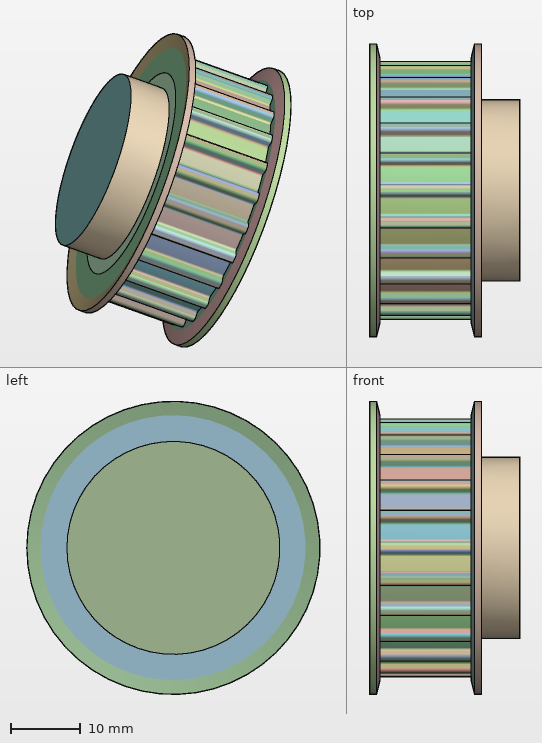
import cadquery as cq
import math

total_length = 21.55
rim_span = 16.05

flange_diameter = 42.0
flange_thickness = 1.0
flare_depth = 0.5
flare_inner_diameter = 37.93

spigot_diameter = 30.5
hub_diameter = 26.0

tooth_count = 24
tip_diameter = 36.95
tooth_depth = 1.18
tooth_tip_width = 1.25
tooth_root_width = 1.9
tip_fillet = 0.5
root_fillet = 0.35

flange_radius = flange_diameter / 2
flare_inner_radius = flare_inner_diameter / 2
spigot_radius = spigot_diameter / 2
tip_radius = tip_diameter / 2
root_radius = tip_radius - tooth_depth
middle_radius = (tip_radius + root_radius) / 2
tooth_pitch_angle = 2 * math.pi / tooth_count
spigot_start = flare_depth
spigot_end = rim_span - flare_depth
teeth_start = flare_depth + flange_thickness
teeth_end = rim_span - teeth_start


def polar(radius, angle):
    """Point in the YZ plane at the given radius and angle from +Y."""
    return radius * math.cos(angle), radius * math.sin(angle)


def along_axis(start):
    """Workplane facing +X at the given place along the axis."""
    return cq.Workplane("YZ", origin=(start, 0, 0))


def axis_distance(edge):
    """Distance of an edge's center from the pulley axis."""
    center = edge.Center()
    return math.hypot(center.y, center.z)


def make_toothed_rim():
    """Ring of straight-flanked teeth with rounded tips and roots."""
    tip_half_angle = math.asin(tooth_tip_width / 2 / tip_radius)
    root_half_angle = math.asin(tooth_root_width / 2 / root_radius)

    outline = along_axis(teeth_start).moveTo(*polar(root_radius, -root_half_angle))
    for index in range(tooth_count):
        center = index * tooth_pitch_angle
        groove_center = center + tooth_pitch_angle / 2
        next_tooth_start = center + tooth_pitch_angle - root_half_angle
        outline = (
            outline.lineTo(*polar(tip_radius, center - tip_half_angle))
            .threePointArc(polar(tip_radius, center), polar(tip_radius, center + tip_half_angle))
            .lineTo(*polar(root_radius, center + root_half_angle))
            .threePointArc(polar(root_radius, groove_center), polar(root_radius, next_tooth_start))
        )
    rim = outline.close().extrude(teeth_end - teeth_start)

    tip_corners = [edge for edge in rim.edges("|X").vals() if axis_distance(edge) > middle_radius]
    root_corners = [edge for edge in rim.edges("|X").vals() if axis_distance(edge) < middle_radius]
    rounded = rim.val().fillet(tip_fillet, tip_corners).fillet(root_fillet, root_corners)
    return cq.Workplane(rounded)


def make_pulley():
    """Toothed rim with a spigot at each end for the flanges, and a hub on the +X end."""
    spigot = along_axis(spigot_start).circle(spigot_radius).extrude(spigot_end - spigot_start)
    hub = along_axis(spigot_end).circle(hub_diameter / 2).extrude(total_length - spigot_end)
    return make_toothed_rim().union(spigot).union(hub)


def make_flange(rim_edge, inward):
    """Flange whose rim starts at rim_edge; inward is +1 or -1, the X direction toward the teeth."""
    def section_point(depth, radius):
        return rim_edge + inward * depth, radius

    section = [
        section_point(0, flange_radius),
        section_point(flange_thickness, flange_radius),
        section_point(flare_depth + flange_thickness, flare_inner_radius),
        section_point(flare_depth + flange_thickness, spigot_radius),
        section_point(flare_depth, spigot_radius),
        section_point(flare_depth, flare_inner_radius),
    ]
    return cq.Workplane("XY").polyline(section).close().revolve(360, (0, 0, 0), (1, 0, 0))


pulley = make_pulley()
flanges = [
    make_flange(rim_edge, inward).val()
    for rim_edge, inward in ((0, 1), (rim_span, -1))
]

result = cq.Compound.makeCompound([pulley.val(), *flanges])